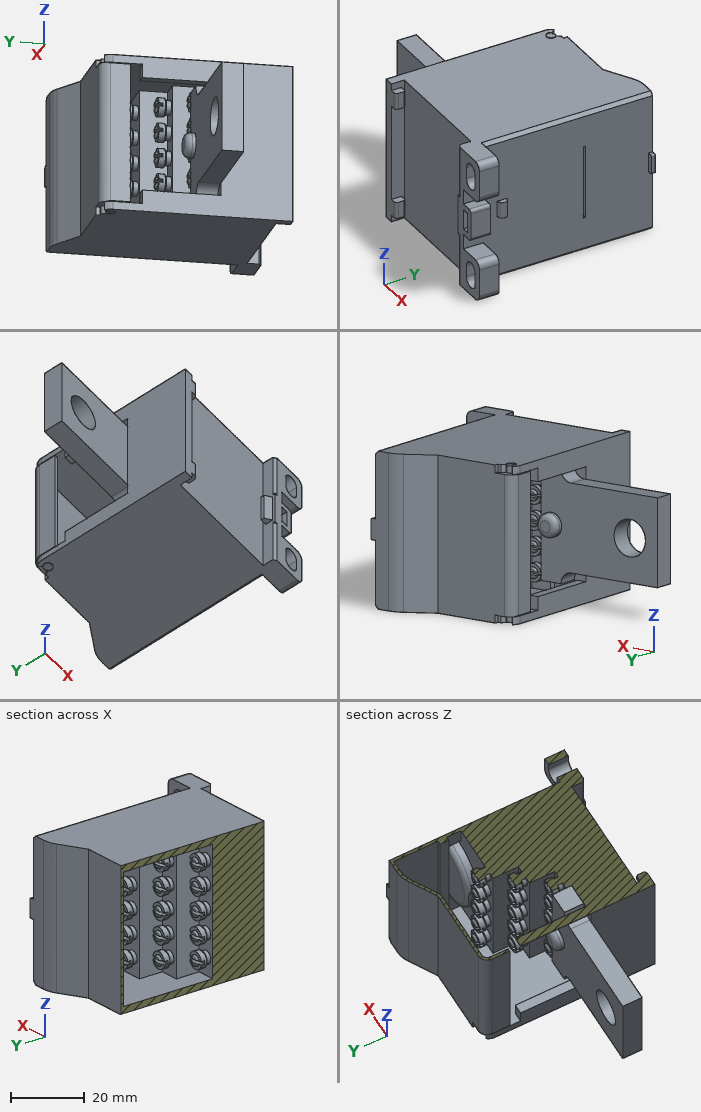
import cadquery as cq
import math

LENGTH = 79.2
HEIGHT = 59.2
WIDTH = 44.0
FRONT_X = 28.6
BACK_X = 70.6
LOW_TOP_Y = 53.3
FOOT_GAP_Y = 4.0
FRONT_FOOT_X = 31.5
BACK_FOOT_X = 67.5
BACK_FOOT_CHAMFER_X = 1.0
BACK_FOOT_CHAMFER_Y = 0.7
BACK_FOOT_PLAIN_HALF = 6.1

CUT_MARGIN = 0.8
PICK_MARGIN = 0.1

HUMP_START_X = 53.7
HUMP_ANGLE = math.radians(30)
HUMP_RADIUS = 8.55
LID_CORNER_RADIUS = 2.8
LID_WALL = 1.0
LID_EDGE_Y = 45.1
BACK_CHAMFER = 1.0

CAVITY_HALF = 19.8
OPENING_HALF = 16.0
SILL_Y = 41.7
CAVITY_BACK_X = BACK_X - LID_WALL

FLANGE_TOP_Y = 6.2
EAR_INNER_Z = 9.4
EAR_RADIUS = 2.1
EAR_SLOT_X = 74.5
EAR_SLOT_LENGTH = 8.0
EAR_SLOT_WIDTH = 4.6
TAB_END_X = 74.6
TAB_HALF = 4.9
TAB_RADIUS = 0.95
TAB_SLOT_END_X = 72.7
TAB_SLOT_HALF = 3.0

HOOK_TOP_Y = 3.2
FRONT_HOOK_END_X = 33.7
FRONT_HOOK_Z = 17.4
FRONT_HOOK_WIDTH = 5.1
FRONT_HOOK_RADIUS = 0.95
FRONT_HOOK_CHAMFER = 0.5
BACK_HOOK_TIP_X = 65.5
BACK_HOOK_TIP_Y = 2.2

LATCH_RADIUS = 1.5
LATCH_Y = 12.0
LATCH_HALF = 2.45
TOP_LATCH_HALF = 3.0
TOP_LATCH_RADIUS = 0.55
TOP_LATCH_HEIGHT = 1.3

PIN_X = FRONT_FOOT_X
PIN_Y = 49.9
PIN_DIAMETER = 2.8
PIN_RECESS = 0.2
NOTCH_END_X = 34.45
NOTCH_SHELF_X = 33.4
NOTCH_SHELF_Y = 52.1
NOTCH_FLOOR_Y = 50.9
NOTCH_FLOOR_HALF = 1.0
LUG_START_Y = 49.6
LUG_ARC_MIDDLE = (28.8, 51.0)
LUG_PEAK = (29.5, 52.0)
LID_GAP = 0.2

BAR_BOTTOM_Y = 19.95
BAR_THICKNESS = 6.0
BAR_HALF = 12.5
BAR_FLARE_X = 29.1
BAR_HOLE_X = 9.35
BAR_HOLE_DIAMETER = 10.5
BOLT_X = 35.8
BOLT_DIAMETER = 6.9
BOLT_RIM = 0.95
BOLT_HEIGHT = 2.8

STEP_START_X = 39.3
STEP_DEPTH = 6.2
STEP_BASE_Y = 21.8
STEP_RISE = 7.85
STEP_COUNT = 3
SCREW_PITCH = 7.2
SCREWS_PER_ROW = 5
NECK_DIAMETER = 4.0
NECK_HEIGHT = 1.4
HEAD_DIAMETER = 5.2
HEAD_TOP = 3.65
HEAD_CHAMFER = 0.4
CROWN_DIAMETER = 3.3
CROWN_TOP = 4.3
CROWN_FILLET = 0.55
DRIVE_SLOT_WIDTH = 0.95
DRIVE_SLOT_DEPTH = 1.75

BULGE_RADIUS = 11.3
BULGE_FLAT_HALF = 2.9
BULGE_BOTTOM_Y = 38.1
BULGE_EDGE_RADIUS = 1.6
RIB_DEPTH = 1.2
RIB_HEIGHT = 2.85
RIB_HALF = 19.3


def box(x0, x1, y0, y1, z0, z1):
    return cq.Workplane("XY").box(x1 - x0, y1 - y0, z1 - z0, centered=False).translate((x0, y0, z0))


def across(x0, x1, y0, y1, half):
    """Box centred on the middle plane Z = 0."""
    return box(x0, x1, y0, y1, -half, half)


def upright(x, y, z, diameter, height):
    """Round bar standing along +Y from (x, y, z)."""
    plane = cq.Plane(origin=(x, y, z), xDir=(1, 0, 0), normal=(0, 1, 0))
    return cq.Workplane(plane).circle(diameter / 2).extrude(height)


def hump_profile(inset, front_x, bottom_y, back_x):
    """Side outline under the lid surface, moved inwards by the inset."""
    radius = HUMP_RADIUS - inset
    top_y = HEIGHT - inset
    low_y = LOW_TOP_Y - inset
    start_x = HUMP_START_X + inset * math.tan(HUMP_ANGLE / 2)
    arc_drop = radius * (1 - math.cos(HUMP_ANGLE))
    slope_rise = top_y - low_y - arc_drop
    slope_end_x = start_x + slope_rise / math.tan(HUMP_ANGLE)
    arc_end_x = slope_end_x + radius * math.sin(HUMP_ANGLE)
    half = HUMP_ANGLE / 2
    arc_mid = (arc_end_x - radius * math.sin(half), top_y - radius * (1 - math.cos(half)))
    return (
        cq.Workplane("XY")
        .moveTo(front_x, bottom_y)
        .lineTo(front_x, low_y)
        .lineTo(start_x, low_y)
        .lineTo(slope_end_x, low_y + slope_rise)
        .threePointArc(arc_mid, (arc_end_x, top_y))
        .lineTo(back_x, top_y)
        .lineTo(back_x, bottom_y)
        .close()
    )


def round_lid_corner(solid, radius, x, y):
    pick = cq.selectors.BoxSelector(
        (x - PICK_MARGIN, y - PICK_MARGIN, -WIDTH),
        (x + PICK_MARGIN, y + PICK_MARGIN, WIDTH),
    )
    return solid.edges("|Z").edges(pick).fillet(radius)


def make_housing():
    body = hump_profile(0, FRONT_X, 0, BACK_X).extrude(WIDTH / 2, both=True)
    body = round_lid_corner(body, LID_CORNER_RADIUS, FRONT_X, LOW_TOP_Y)
    body = body.faces(">X").edges("|Y").chamfer(BACK_CHAMFER)
    return body.cut(across(FRONT_FOOT_X, BACK_FOOT_X, 0, FOOT_GAP_Y, WIDTH))


def make_cavity():
    top = hump_profile(LID_WALL, FRONT_X + LID_WALL, SILL_Y, CAVITY_BACK_X)
    cavity = top.extrude(CAVITY_HALF, both=True)
    inner_radius = LID_CORNER_RADIUS - LID_WALL
    cavity = round_lid_corner(cavity, inner_radius, FRONT_X + LID_WALL, LOW_TOP_Y - LID_WALL)
    cavity = cavity.union(across(FRONT_FOOT_X, CAVITY_BACK_X, BAR_BOTTOM_Y, SILL_Y, CAVITY_HALF))
    cavity = cavity.union(across(FRONT_X, FRONT_FOOT_X, BAR_BOTTOM_Y, SILL_Y, OPENING_HALF))
    return cavity.union(across(FRONT_X, FRONT_FOOT_X, SILL_Y, LID_EDGE_Y, CAVITY_HALF))


def make_hinge_cuts():
    """Corner notches beside the lid, leaving rounded lugs and slightly recessed pin ends."""
    side_z = WIDTH / 2
    notch = (
        cq.Workplane("XY", origin=(0, 0, CAVITY_HALF))
        .moveTo(FRONT_X - CUT_MARGIN, LOW_TOP_Y + CUT_MARGIN)
        .lineTo(FRONT_X - CUT_MARGIN, LUG_START_Y)
        .lineTo(FRONT_X, LUG_START_Y)
        .threePointArc(LUG_ARC_MIDDLE, LUG_PEAK)
        .lineTo(PIN_X - NOTCH_FLOOR_HALF, NOTCH_FLOOR_Y)
        .lineTo(PIN_X + NOTCH_FLOOR_HALF, NOTCH_FLOOR_Y)
        .lineTo(NOTCH_SHELF_X, NOTCH_SHELF_Y)
        .lineTo(NOTCH_END_X, NOTCH_SHELF_Y)
        .lineTo(NOTCH_END_X, LOW_TOP_Y + CUT_MARGIN)
        .close()
        .extrude(side_z + CUT_MARGIN - CAVITY_HALF)
    )
    pin_radius = PIN_DIAMETER / 2
    pin_end_z = side_z - PIN_RECESS
    pin = cq.Workplane("XY", origin=(PIN_X, PIN_Y, 0)).circle(pin_radius).extrude(pin_end_z)
    recess = (
        cq.Workplane("XY", origin=(PIN_X, PIN_Y, pin_end_z))
        .circle(pin_radius)
        .extrude(PIN_RECESS + CUT_MARGIN)
    )
    side = notch.cut(pin).union(recess)
    return side.union(side.mirror("XY"))


def make_lid_cheeks():
    """End walls that close the hollow lid next to the hinge notches."""
    inner_z = CAVITY_HALF - LID_WALL
    top_y = LOW_TOP_Y - LID_WALL
    cheek = box(FRONT_X + LID_WALL, NOTCH_END_X, LUG_START_Y, top_y, inner_z, CAVITY_HALF)
    return cheek.union(cheek.mirror("XY"))


def make_lid_gaps():
    """Narrow gaps between the lid front and the hinge lugs."""
    gap = box(FRONT_X, FRONT_X + LID_WALL, LID_EDGE_Y, NOTCH_FLOOR_Y, CAVITY_HALF - LID_GAP, CAVITY_HALF)
    return gap.union(gap.mirror("XY"))


def make_flange():
    flange = across(BACK_FOOT_X, BACK_X, 0, FLANGE_TOP_Y, WIDTH / 2)
    tab = across(BACK_FOOT_X, TAB_END_X, 0, FLANGE_TOP_Y, TAB_HALF)
    flange = flange.union(tab.edges("|Y and >X").fillet(TAB_RADIUS))
    ear = box(BACK_FOOT_X, LENGTH, 0, FLANGE_TOP_Y, EAR_INNER_Z, WIDTH / 2)
    ear = ear.edges("|Y and >X").fillet(EAR_RADIUS)
    slot_z = (EAR_INNER_Z + WIDTH / 2) / 2
    slot = (
        cq.Workplane("XZ", origin=(EAR_SLOT_X, 0, slot_z))
        .slot2D(EAR_SLOT_LENGTH, EAR_SLOT_WIDTH, 90)
        .extrude(-FLANGE_TOP_Y)
    )
    ear = ear.cut(slot)
    flange = flange.union(ear).union(ear.mirror("XY"))
    return flange.cut(across(BACK_X, TAB_SLOT_END_X, 0, FLANGE_TOP_Y, TAB_SLOT_HALF))


def make_foot_chamfers():
    corner = (
        cq.Workplane("XY")
        .polyline([
            (BACK_FOOT_X, 0),
            (BACK_FOOT_X + BACK_FOOT_CHAMFER_X, 0),
            (BACK_FOOT_X, BACK_FOOT_CHAMFER_Y),
        ])
        .close()
        .extrude(WIDTH / 2 - BACK_FOOT_PLAIN_HALF)
        .translate((0, 0, BACK_FOOT_PLAIN_HALF))
    )
    return corner.union(corner.mirror("XY"))


def make_hooks():
    z0 = FRONT_HOOK_Z - FRONT_HOOK_WIDTH / 2
    front = box(FRONT_X, FRONT_HOOK_END_X, 0, HOOK_TOP_Y, z0, z0 + FRONT_HOOK_WIDTH)
    front = front.edges(">X and <Y").fillet(FRONT_HOOK_RADIUS)
    front = front.edges(">X and >Y").chamfer(FRONT_HOOK_CHAMFER)
    back = (
        cq.Workplane("XY")
        .polyline([
            (BACK_FOOT_X + BACK_FOOT_CHAMFER_X, 0),
            (BACK_HOOK_TIP_X, BACK_HOOK_TIP_Y),
            (BACK_HOOK_TIP_X, HOOK_TOP_Y),
            (BACK_FOOT_X + BACK_FOOT_CHAMFER_X, HOOK_TOP_Y),
        ])
        .close()
        .extrude(TAB_HALF, both=True)
    )
    return front.union(front.mirror("XY")).union(back)


def make_latches():
    low = (
        cq.Workplane("XY")
        .moveTo(CAVITY_BACK_X, LATCH_Y - LATCH_RADIUS)
        .lineTo(BACK_X, LATCH_Y - LATCH_RADIUS)
        .threePointArc((BACK_X + LATCH_RADIUS, LATCH_Y), (BACK_X, LATCH_Y + LATCH_RADIUS))
        .lineTo(CAVITY_BACK_X, LATCH_Y + LATCH_RADIUS)
        .close()
        .extrude(LATCH_HALF, both=True)
    )
    top_end_x = BACK_X + LATCH_RADIUS
    top = across(CAVITY_BACK_X, top_end_x, HEIGHT - TOP_LATCH_HEIGHT, HEIGHT, TOP_LATCH_HALF)
    return low.union(top.edges("|Y and >X").fillet(TOP_LATCH_RADIUS))


def make_busbar():
    flare = OPENING_HALF - BAR_HALF
    blend = flare * (1 - math.sqrt(0.5))
    wide_x = BAR_FLARE_X + flare
    bar = (
        cq.Workplane("XZ", origin=(0, BAR_BOTTOM_Y, 0))
        .moveTo(0, -BAR_HALF)
        .lineTo(BAR_FLARE_X, -BAR_HALF)
        .threePointArc((wide_x - blend, -BAR_HALF - blend), (wide_x, -OPENING_HALF))
        .lineTo(STEP_START_X, -OPENING_HALF)
        .lineTo(STEP_START_X, OPENING_HALF)
        .lineTo(wide_x, OPENING_HALF)
        .threePointArc((wide_x - blend, BAR_HALF + blend), (BAR_FLARE_X, BAR_HALF))
        .lineTo(0, BAR_HALF)
        .close()
        .extrude(-BAR_THICKNESS)
    )
    bar = bar.cut(upright(BAR_HOLE_X, BAR_BOTTOM_Y, 0, BAR_HOLE_DIAMETER, BAR_THICKNESS))
    bolt = upright(BOLT_X, BAR_BOTTOM_Y + BAR_THICKNESS, 0, BOLT_DIAMETER, BOLT_HEIGHT)
    return bar.union(bolt.faces(">Y").edges().fillet(BOLT_HEIGHT - BOLT_RIM))


def make_screw(x, y, z):
    screw = upright(x, y, z, NECK_DIAMETER, NECK_HEIGHT)
    head = upright(x, y + NECK_HEIGHT, z, HEAD_DIAMETER, HEAD_TOP - NECK_HEIGHT)
    crown = upright(x, y + HEAD_TOP, z, CROWN_DIAMETER, CROWN_TOP - HEAD_TOP)
    screw = screw.union(head.faces("<Y").edges().chamfer(HEAD_CHAMFER))
    screw = screw.union(crown.faces(">Y").edges().fillet(CROWN_FILLET))
    half_slot = DRIVE_SLOT_WIDTH / 2
    head_radius = HEAD_DIAMETER / 2
    slot_y = y + CROWN_TOP - DRIVE_SLOT_DEPTH
    return screw.cut(
        box(x - head_radius, x + head_radius, slot_y, y + CROWN_TOP, z - half_slot, z + half_slot)
    )


def make_terminal_block():
    block = cq.Workplane("XY")
    for step in range(STEP_COUNT):
        x = STEP_START_X + step * STEP_DEPTH
        y = STEP_BASE_Y + step * STEP_RISE
        block = block.union(across(x, CAVITY_BACK_X, BAR_BOTTOM_Y, y, CAVITY_HALF))
        for index in range(SCREWS_PER_ROW):
            z = (index - (SCREWS_PER_ROW - 1) / 2) * SCREW_PITCH
            block = block.union(make_screw(x + STEP_DEPTH / 2, y, z))
    return block


def make_back_wall_details():
    """Rounded bulge with a flat nose, under a rib that spans the back wall."""
    bulge = upright(CAVITY_BACK_X, BULGE_BOTTOM_Y, 0, 2 * BULGE_RADIUS, SILL_Y - BULGE_BOTTOM_Y)
    bulge = bulge.faces(">Y").edges().fillet(BULGE_EDGE_RADIUS)
    nose_x = CAVITY_BACK_X - math.sqrt(BULGE_RADIUS**2 - BULGE_FLAT_HALF**2)
    bulge = bulge.intersect(across(nose_x, CAVITY_BACK_X, 0, HEIGHT, WIDTH / 2))
    rib = across(CAVITY_BACK_X - RIB_DEPTH, CAVITY_BACK_X, SILL_Y, SILL_Y + RIB_HEIGHT, RIB_HALF)
    return bulge.union(rib)


def make_back_window():
    """Slit through the back wall, between the top step and the bulge."""
    top_step_y = STEP_BASE_Y + (STEP_COUNT - 1) * STEP_RISE
    return across(CAVITY_BACK_X, BACK_X, top_step_y, BULGE_BOTTOM_Y, BULGE_RADIUS)


part = (
    make_housing()
    .cut(make_hinge_cuts())
    .cut(make_cavity())
    .cut(make_lid_gaps())
    .union(make_lid_cheeks())
    .union(make_flange())
    .cut(make_foot_chamfers())
    .union(make_hooks())
    .union(make_latches())
    .union(make_busbar())
    .union(make_terminal_block())
    .union(make_back_wall_details())
    .cut(make_back_window())
)

result = cq.Workplane(part.solids().val())